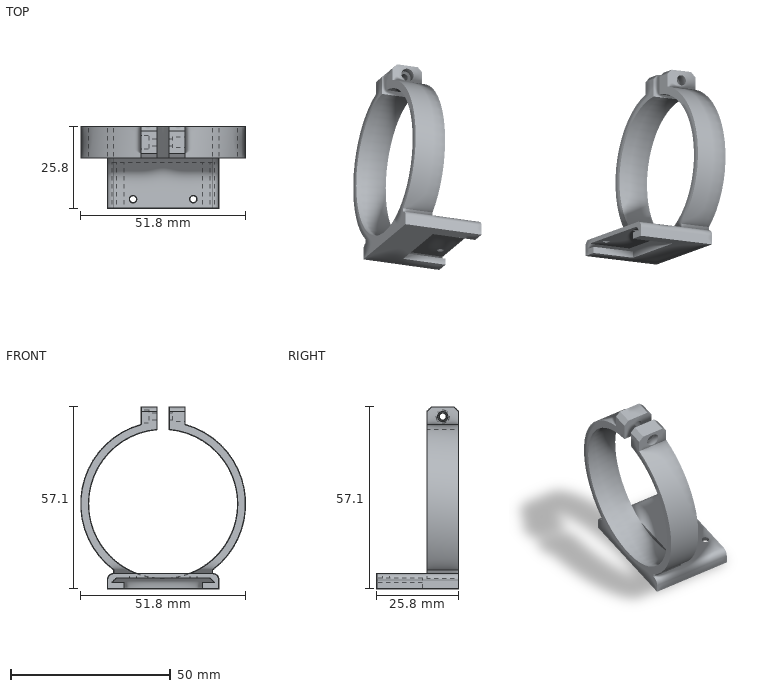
import cadquery as cq
import math

RING_OUTER_D = 51.75
RING_WALL = 2.5
RING_WIDTH = 10.0
RING_INNER_D = RING_OUTER_D - 2 * RING_WALL
RING_CENTER_Z = 26.66

JAW_TOP_Z = 57.11
JAW_THICKNESS = 5.0
JAW_GAP = 3.75
JAW_CHAMFER = 1.5
JAW_OUTER_X = JAW_GAP / 2 + JAW_THICKNESS

SCREW_D = 2.2
SCREW_HEAD_D = 4.1
INSERT_D = 3.2
SCREW_BELOW_TOP = 3.05
HEAD_RECESS_DEPTH = 2.5
INSERT_DEPTH = 4.0
SCREW_Y = -RING_WIDTH / 2
SCREW_Z = JAW_TOP_Z - SCREW_BELOW_TOP

BASE_WIDTH = 35.0
BASE_LENGTH = 25.75
BASE_CORNER_R = 2.0
BASE_WALL = 1.4
LIP_HEIGHT = 2.0
LIP_REACH = 5.2
SLOT_CHAMFER = 1.45
SLOT_LENGTH = BASE_LENGTH - RING_WIDTH - BASE_WALL
SLOT_TOP_Z = LIP_HEIGHT + SLOT_CHAMFER
BASE_HEIGHT = SLOT_TOP_Z + BASE_WALL

NECK_WIDTH = BASE_WIDTH - 2 * BASE_CORNER_R

BASE_HOLE_D = 2.2
BASE_HOLE_SPACING = 18.9
BASE_HOLE_FROM_FRONT = 2.9


def box(x_min, x_max, y_min, y_max, z_min, z_max):
    """Axis-aligned block given by its limits."""
    return (
        cq.Workplane("XY")
        .box(x_max - x_min, y_max - y_min, z_max - z_min, centered=False)
        .translate((x_min, y_min, z_min))
    )


def ring_disc(diameter):
    """Solid disc on the ring axis, reaching forward from the back face."""
    return cq.Workplane("XZ").center(0, RING_CENTER_Z).circle(diameter / 2).extrude(RING_WIDTH)


def x_cylinder(diameter, x_start, x_end):
    """Cylinder on the clamping screw axis."""
    return (
        cq.Workplane("YZ", origin=(x_start, SCREW_Y, SCREW_Z))
        .circle(diameter / 2)
        .extrude(x_end - x_start)
    )


def make_jaws():
    """Block spanning both jaws, with its front and back top edges chamfered."""
    block = box(-JAW_OUTER_X, JAW_OUTER_X, -RING_WIDTH, 0, RING_CENTER_Z, JAW_TOP_Z)
    return block.faces(">Z").edges("|X").chamfer(JAW_CHAMFER)


def make_clamp():
    """Split disc with its neck and jaws, trimmed flat at the top of the base."""
    outer_corner_z = RING_CENTER_Z - math.sqrt((RING_OUTER_D / 2) ** 2 - (NECK_WIDTH / 2) ** 2)
    neck = box(-NECK_WIDTH / 2, NECK_WIDTH / 2, -RING_WIDTH, 0, BASE_HEIGHT, outer_corner_z)
    clamp = ring_disc(RING_OUTER_D).union(make_jaws()).union(neck)
    below_base_top = box(-RING_OUTER_D / 2, RING_OUTER_D / 2, -RING_WIDTH, 0, 0, BASE_HEIGHT)
    gap = box(-JAW_GAP / 2, JAW_GAP / 2, -RING_WIDTH, 0, RING_CENTER_Z, JAW_TOP_Z)
    return clamp.cut(below_base_top).cut(gap)


def cut_clamp_screw(body):
    """Head recess in the -X jaw, insert bore in the +X jaw, narrow bore through both."""
    body = body.cut(x_cylinder(SCREW_D, -JAW_OUTER_X, JAW_OUTER_X))
    body = body.cut(x_cylinder(SCREW_HEAD_D, -JAW_OUTER_X, -JAW_OUTER_X + HEAD_RECESS_DEPTH))
    return body.cut(x_cylinder(INSERT_D, JAW_OUTER_X - INSERT_DEPTH, JAW_OUTER_X))


def make_slot():
    """Undercut slide slot, open at the front and the bottom, closed at the back."""
    mouth_x = BASE_WIDTH / 2 - LIP_REACH
    side_x = BASE_WIDTH / 2 - BASE_WALL
    top_x = side_x - SLOT_CHAMFER
    return (
        cq.Workplane("XZ", origin=(0, SLOT_LENGTH - BASE_LENGTH, 0))
        .moveTo(-mouth_x, 0)
        .lineTo(-mouth_x, LIP_HEIGHT)
        .lineTo(-side_x, LIP_HEIGHT)
        .lineTo(-top_x, SLOT_TOP_Z)
        .lineTo(top_x, SLOT_TOP_Z)
        .lineTo(side_x, LIP_HEIGHT)
        .lineTo(mouth_x, LIP_HEIGHT)
        .lineTo(mouth_x, 0)
        .close()
        .extrude(SLOT_LENGTH)
    )


def make_base():
    """Base block with rounded long top edges, slide slot and two screw holes."""
    base = box(-BASE_WIDTH / 2, BASE_WIDTH / 2, -BASE_LENGTH, 0, 0, BASE_HEIGHT)
    base = base.faces(">Z").edges("|Y").fillet(BASE_CORNER_R)
    base = base.cut(make_slot())
    hole_y = -BASE_LENGTH + BASE_HOLE_FROM_FRONT
    holes = (
        cq.Workplane("XY")
        .pushPoints([(side * BASE_HOLE_SPACING / 2, hole_y) for side in (-1, 1)])
        .circle(BASE_HOLE_D / 2)
        .extrude(BASE_HEIGHT)
    )
    return base.cut(holes)


body = make_base().union(make_clamp())
body = body.cut(ring_disc(RING_INNER_D))
result = cut_clamp_screw(body)